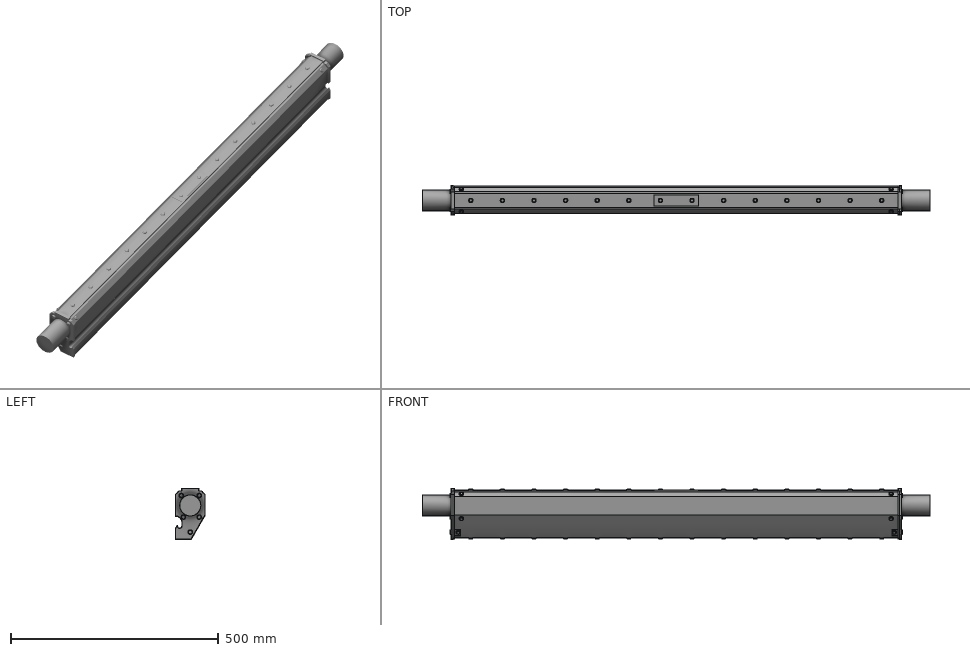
import cadquery as cq
import math

overall_length = 1223.98
overall_width = 71.12
overall_height = 122.73
shaft_diameter = 50.8

plate_outer_x = 542.5
plate_thickness = 7.5
gasket_thickness = plate_thickness / 2
plate_inner_x = plate_outer_x - plate_thickness
plate_side = overall_width / 2
plate_top = 40.9
plate_bottom = plate_top - overall_height
plate_crown_half_width = 20.8
plate_step_depth = 6.0
plate_corner_z = 26.5
plate_ridge_z = -24.0
gasket_inset = 0.6

slope_angle = math.radians(30)
housing_inset = 3.9
housing_side = plate_side - housing_inset
housing_top = plate_top - housing_inset
housing_bottom = plate_bottom + housing_inset
housing_crown_half_width = 16.9
housing_step_depth = 4.5
housing_shoulder_z = housing_top - housing_step_depth
housing_corner_z = 22.1
housing_ridge_z = plate_ridge_z + housing_inset * math.tan(slope_angle / 2)
foot_inset = 0.6

groove_center_y = 25.5
groove_center_z = -49.5
groove_radius = 5.25
throat_start = (30.0, -26.6)
throat_middle = (23.4, -32.2)
throat_end_z = -38.0
lip_z = -48.0
foot_top_z = -54.5

cover_screw = (10.5, 7.6, 2.75)
end_screw = (11.0, 9.0, 3.3)
cylinder_share = 0.3
head_seat = 1.0

cover_screw_count = 14
cover_screw_pitch = 76.2
side_screw_x = 518.0
slope_screw_z = -31.5
end_screw_places = [
    (21.5, 24.0),
    (-21.5, 24.0),
    (16.6, -28.0),
    (-21.5, -28.0),
    (0.0, -64.4),
]

recess_length = 15.0
recess_height = 17.3
recess_depth = 3.0
recess_z = -66.0
recess_screw_x = 525.5

name_plate_length = 107.0
name_plate_width = 27.0
name_plate_thickness = 0.8

up = cq.Vector(0, 0, 1)
down = cq.Vector(0, 0, -1)
slope_normal = cq.Vector(0, -math.cos(slope_angle), -math.sin(slope_angle))


def slope_y(side, ridge_z, z):
    """Y of the sloping front face at height z."""
    return -side + (ridge_z - z) * math.tan(slope_angle)


def section(side, foot_y, crown_half_width, top, bottom, shoulder_z, corner_z, ridge_z):
    """Closed YZ outline: crown, shoulders, 45 degree corners, hook groove, foot and slope."""
    shoulder_y = side - (shoulder_z - corner_z)
    groove_inner_y = groove_center_y - groove_radius
    groove_outer_y = groove_center_y + groove_radius
    groove_floor_z = groove_center_z - groove_radius
    return (
        cq.Workplane("YZ")
        .moveTo(-crown_half_width, top)
        .lineTo(crown_half_width, top)
        .lineTo(crown_half_width, shoulder_z)
        .lineTo(shoulder_y, shoulder_z)
        .lineTo(side, corner_z)
        .lineTo(side, throat_start[1])
        .lineTo(*throat_start)
        .threePointArc(throat_middle, (groove_inner_y, throat_end_z))
        .lineTo(groove_inner_y, groove_center_z)
        .threePointArc((groove_center_y, groove_floor_z), (groove_outer_y, groove_center_z))
        .lineTo(groove_outer_y, lip_z)
        .lineTo(foot_y, foot_top_z)
        .lineTo(foot_y, bottom)
        .lineTo(slope_y(side, ridge_z, bottom), bottom)
        .lineTo(-side, ridge_z)
        .lineTo(-side, corner_z)
        .lineTo(-shoulder_y, shoulder_z)
        .lineTo(-crown_half_width, shoulder_z)
        .close()
    )


def plate_section(inset):
    """End plate outline with everything but the crown moved in by inset."""
    side = plate_side - inset
    return section(
        side,
        side,
        plate_crown_half_width,
        plate_top,
        plate_bottom + inset,
        plate_top - plate_step_depth - inset,
        plate_corner_z,
        plate_ridge_z,
    )


def make_housing():
    outline = section(
        housing_side,
        plate_side - foot_inset,
        housing_crown_half_width,
        housing_top,
        housing_bottom,
        housing_shoulder_z,
        housing_corner_z,
        housing_ridge_z,
    )
    return outline.extrude(plate_inner_x, both=True)


def make_right_end_plate():
    gasket = plate_section(gasket_inset).extrude(gasket_thickness)
    plate = plate_section(0).extrude(plate_thickness - gasket_thickness)
    return gasket.union(plate.translate((gasket_thickness, 0, 0))).translate((plate_inner_x, 0, 0))


def make_shaft():
    return cq.Workplane("YZ").circle(shaft_diameter / 2).extrude(overall_length / 2, both=True)


def make_name_plate():
    crown = cq.Workplane("XY").workplane(offset=housing_top)
    return crown.rect(name_plate_length, name_plate_width).extrude(name_plate_thickness)


def make_right_recess():
    center_x = plate_inner_x - recess_length / 2
    center_y = slope_y(housing_side, housing_ridge_z, recess_z)
    plane = cq.Plane(origin=(center_x, center_y, recess_z), xDir=(1, 0, 0), normal=slope_normal)
    return cq.Workplane(plane).rect(recess_length, recess_height).extrude(-recess_depth)


def screw_head(screw, place, direction):
    """Button head seated at place and pointing along the unit vector direction."""
    base_diameter, top_diameter, height = screw
    straight = cylinder_share * height
    base = cq.Vector(*place)
    cylinder = cq.Solid.makeCylinder(
        base_diameter / 2, head_seat + straight, base - direction * head_seat, direction
    )
    cone = cq.Solid.makeCone(
        base_diameter / 2, top_diameter / 2, height - straight, base + direction * straight, direction
    )
    return cylinder.fuse(cone)


def make_cover_screws():
    """Rows of screws along the crown and along the underside."""
    front_edge_y = slope_y(housing_side, housing_ridge_z, housing_bottom)
    underside_middle_y = (front_edge_y + plate_side - foot_inset) / 2
    heads = []
    for i in range(cover_screw_count):
        x = (i - (cover_screw_count - 1) / 2) * cover_screw_pitch
        heads.append(screw_head(cover_screw, (x, 0, housing_top), up))
        heads.append(screw_head(cover_screw, (x, underside_middle_y, housing_bottom), down))
    return heads


def make_right_corner_screws():
    """Screws on the middle of both 45 degree corners, near the right end."""
    corner_rise = housing_shoulder_z - housing_corner_z
    middle_y = housing_side - corner_rise / 2
    middle_z = housing_corner_z + corner_rise / 2
    heads = []
    for sign in (-1, 1):
        direction = cq.Vector(0, sign, 1).normalized()
        heads.append(screw_head(cover_screw, (side_screw_x, sign * middle_y, middle_z), direction))
    return heads


def make_right_slope_screws():
    """One screw on the slope and one on the recess floor, near the right end."""
    upper_y = slope_y(housing_side, housing_ridge_z, slope_screw_z)
    recess_y = slope_y(housing_side, housing_ridge_z, recess_z)
    recess_floor = cq.Vector(recess_screw_x, recess_y, recess_z) - slope_normal * recess_depth
    return [
        screw_head(cover_screw, (side_screw_x, upper_y, slope_screw_z), slope_normal),
        screw_head(cover_screw, recess_floor.toTuple(), slope_normal),
    ]


def make_right_end_screws():
    outward = cq.Vector(1, 0, 0)
    return [screw_head(end_screw, (plate_outer_x, y, z), outward) for y, z in end_screw_places]


def make_result():
    recess = make_right_recess()
    end_plate = make_right_end_plate()
    right_heads = make_right_corner_screws() + make_right_slope_screws() + make_right_end_screws()

    part = make_housing().cut(recess).cut(recess.mirror("YZ"))
    part = part.union(end_plate).union(end_plate.mirror("YZ"))
    part = part.union(make_shaft()).union(make_name_plate())
    for head in make_cover_screws():
        part = part.union(cq.Workplane(head))
    for head in right_heads:
        part = part.union(cq.Workplane(head)).union(cq.Workplane(head.mirror("YZ")))
    return part


result = make_result()